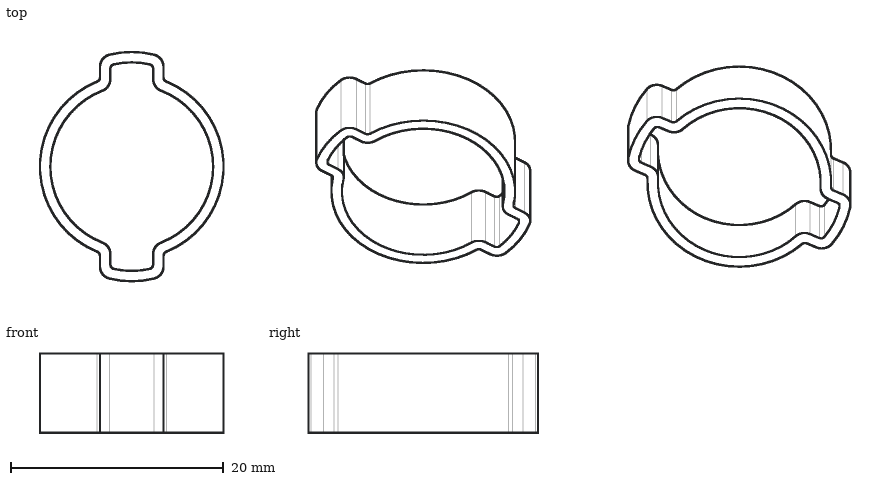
import cadquery as cq

band_height = 7.5
band_thickness = 1.0
ring_radius = 8.65
ear_width = 6.0
ear_offset = 2.15
large_fillet = 1.2
small_fillet = 0.4


def cylinder(radius, center_y):
    """Full-height cylinder centred on the Y axis at the given distance from the origin."""
    return cq.Workplane("XY").center(0, center_y).circle(radius).extrude(band_height)


def ear(radius, width, side):
    """Straight-sided ear from the ring axis to its crown, toward +Y or -Y."""
    reach = radius + ear_offset
    block = cq.Workplane("XY").center(0, side * reach / 2).rect(width, reach).extrude(band_height)
    return block.intersect(cylinder(radius, side * ear_offset))


def ear_corners(body, radius, width, on_crown):
    """Select the four vertical edges on the crowns, or the four at the ear roots."""
    half_width = width / 2
    root_y = (radius**2 - half_width**2) ** 0.5
    corner_y = root_y + (ear_offset if on_crown else 0)
    corners = body.newObject([])
    for x in (-half_width, half_width):
        for y in (-corner_y, corner_y):
            corners = corners.add(body.edges(cq.NearestToPointSelector((x, y, band_height / 2))))
    return corners


def eared_cylinder(inset, crown_fillet, root_fillet):
    """Solid cylinder with two ears, its wall moved inward by the inset."""
    radius = ring_radius - inset
    width = ear_width - 2 * inset
    body = cylinder(radius, 0)
    for side in (-1, 1):
        body = body.union(ear(radius, width, side))
    body = ear_corners(body, radius, width, on_crown=True).fillet(crown_fillet)
    return ear_corners(body, radius, width, on_crown=False).fillet(root_fillet)


outer_body = eared_cylinder(0, crown_fillet=large_fillet, root_fillet=small_fillet)
opening = eared_cylinder(band_thickness, crown_fillet=small_fillet, root_fillet=large_fillet)
result = outer_body.cut(opening)